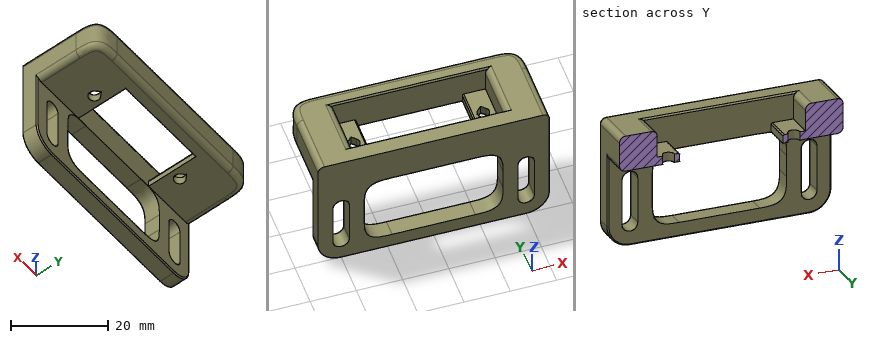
import cadquery as cq

width = 50.0
depth = 20.0
height = 28.0

plate_thickness = 3.8
plate_corner_radius = 5.0
plate_back_chamfer = 0.3

block_height = 8.0
block_bottom = height - block_height
edge_radius = 1.4
blend_length = 6.0
blend_pull = 0.5

window_width = 30.0
window_bottom = 3.2
window_height = block_bottom - window_bottom

slot_spacing = 40.0
slot_width = 3.5
slot_length = 13.5

pocket_width = 33.0
pocket_depth = 12.5
pocket_center_y = 10.0
pocket_end_round = 1.4
rim_chamfer = 0.35
ledge_height = 2.0
ledge_gap = 23.0
ledge_chamfer = 0.3

screw_spacing = 28.0
screw_radius = 1.3


def blend_corner(sketch, start, corner, end):
    """Add a smooth curve from start to end, pulled toward the sharp corner."""
    handles = [
        tuple(a + blend_pull * (c - a) for a, c in zip(point, corner))
        for point in (start, end)
    ]
    return sketch.bezier([start, handles[0], corner, handles[1], end], includeCurrent=False)


def make_plate():
    plate = (
        cq.Workplane("XY")
        .box(width, plate_thickness, height, centered=(True, False, False))
        .edges("|Y and <Z").fillet(plate_corner_radius)
        .edges("|Y and >Z").fillet(edge_radius)
    )
    return plate.faces(">Y").chamfer(plate_back_chamfer)


def make_block():
    half = width / 2
    side_end = depth - blend_length
    back_end = half - blend_length
    outline = cq.Workplane("XY", origin=(0, 0, block_bottom)).moveTo(-half, 0).lineTo(half, 0)
    outline = outline.lineTo(half, side_end)
    outline = blend_corner(outline, (half, side_end), (half, depth), (back_end, depth))
    outline = outline.lineTo(-back_end, depth)
    outline = blend_corner(outline, (-back_end, depth), (-half, depth), (-half, side_end))
    block = outline.close().extrude(block_height)
    return block.faces("|Z").edges("not <Y").fillet(edge_radius)


def make_window():
    half = window_width / 2
    top = window_bottom + window_height
    corners = [
        ((half, window_bottom), (-1, 0), (0, 1)),
        ((half, top), (0, -1), (-1, 0)),
        ((-half, top), (1, 0), (0, -1)),
        ((-half, window_bottom), (0, 1), (1, 0)),
    ]
    outline = cq.Workplane("XZ").moveTo(0, window_bottom)
    for corner, back, ahead in corners:
        start = tuple(c + blend_length * d for c, d in zip(corner, back))
        end = tuple(c + blend_length * d for c, d in zip(corner, ahead))
        outline = blend_corner(outline.lineTo(*start), start, corner, end)
    return outline.close().extrude(-plate_thickness)


def make_slots():
    center_z = window_bottom + slot_length / 2
    return (
        cq.Workplane("XZ", origin=(0, 0, center_z))
        .pushPoints([(-slot_spacing / 2, 0), (slot_spacing / 2, 0)])
        .slot2D(slot_length, slot_width, 90)
        .extrude(-plate_thickness)
    )


def make_pocket():
    """Pocket above the ledges, flared at its mouth: rounded ends and chamfered long sides."""
    floor = block_bottom + ledge_height
    half = pocket_width / 2
    mouth_half = half + pocket_end_round
    mouth_depth = pocket_depth + 2 * rim_chamfer
    profile = (
        cq.Workplane("XZ", origin=(0, pocket_center_y + mouth_depth / 2, 0))
        .moveTo(-half, floor)
        .lineTo(half, floor)
        .lineTo(half, height - pocket_end_round)
        .radiusArc((mouth_half, height), pocket_end_round)
        .lineTo(-mouth_half, height)
        .radiusArc((-half, height - pocket_end_round), pocket_end_round)
        .close()
        .extrude(mouth_depth)
    )
    half_depth = pocket_depth / 2
    half_mouth = mouth_depth / 2
    cross_section = (
        cq.Workplane("YZ", origin=(-mouth_half, pocket_center_y, 0))
        .moveTo(-half_depth, floor)
        .lineTo(half_depth, floor)
        .lineTo(half_depth, height - rim_chamfer)
        .lineTo(half_mouth, height)
        .lineTo(-half_mouth, height)
        .lineTo(-half_depth, height - rim_chamfer)
        .close()
        .extrude(2 * mouth_half)
    )
    return profile.intersect(cross_section)


def make_ledge_opening():
    """Opening between the ledges, chamfered along the ledges' upper edges."""
    half = ledge_gap / 2
    ledge_top = block_bottom + ledge_height
    return (
        cq.Workplane("XZ", origin=(0, pocket_center_y + pocket_depth / 2, 0))
        .moveTo(-half, block_bottom)
        .lineTo(half, block_bottom)
        .lineTo(half, ledge_top - ledge_chamfer)
        .lineTo(half + ledge_chamfer, ledge_top)
        .lineTo(-half - ledge_chamfer, ledge_top)
        .lineTo(-half, ledge_top - ledge_chamfer)
        .close()
        .extrude(pocket_depth)
    )


def make_screw_holes():
    tangent = screw_radius / 2 ** 0.5
    holes = cq.Workplane("XY")
    for x in (-screw_spacing / 2, screw_spacing / 2):
        hole = (
            cq.Workplane("XY", origin=(x, pocket_center_y, block_bottom))
            .moveTo(-tangent, tangent)
            .threePointArc((0, -screw_radius), (tangent, tangent))
            .lineTo(0, 2 * tangent)
            .close()
            .extrude(ledge_height)
        )
        holes = holes.add(hole)
    return holes.combine()


body = make_plate().union(make_block())
for cutter in (make_window(), make_slots(), make_pocket(), make_ledge_opening(), make_screw_holes()):
    body = body.cut(cutter)
result = body